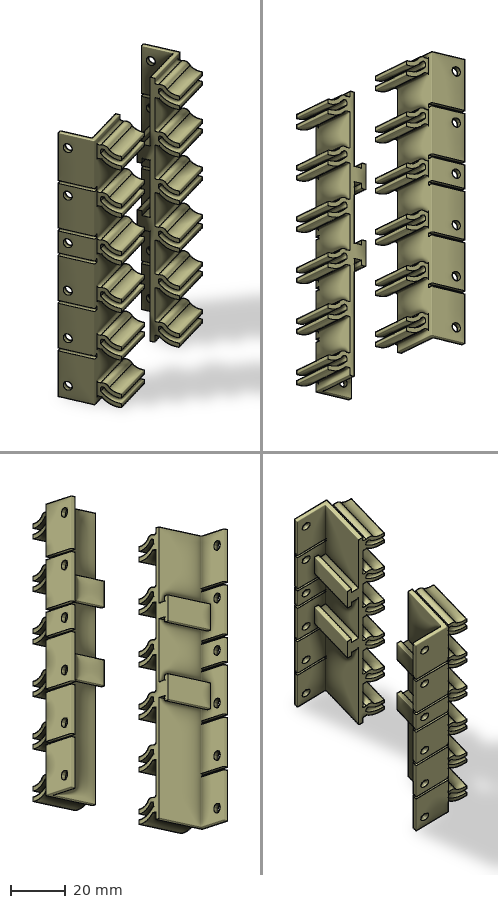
import cadquery as cq
HEIGHT = 111.0
OVERALL_DEPTH = 74.0
OUTER_Y = OVERALL_DEPTH / 2
OVERLAP = 0.5
EDGE_RADIUS = 0.3

SHEET = 2.0
FLANGE_LENGTH = 15.0
WEB_LENGTH = 20.0
FLANGE_Y = OUTER_Y - SHEET
INNER_Y = FLANGE_Y - WEB_LENGTH
WEB_X = FLANGE_LENGTH - SHEET

CLIP_COUNT = 6
CLIP_PITCH = 20.0
CLIP_LEVELS = [(i - (CLIP_COUNT - 1) / 2) * CLIP_PITCH for i in range(CLIP_COUNT)]
HOLE_DIAMETER = 3.5
HOLE_X = 4.0

SLIT_WIDTH = 1.2
SLIT_PITCH = 20.0
UPPER_SLIT_DEPTH = 20.6
LOWER_SLIT_DEPTH = 51.1
UPPER_SLIT_COUNT = 2
LOWER_SLIT_COUNT = 3
SLIT_DEPTHS = [UPPER_SLIT_DEPTH + i * SLIT_PITCH for i in range(UPPER_SLIT_COUNT)]
SLIT_DEPTHS += [LOWER_SLIT_DEPTH + i * SLIT_PITCH for i in range(LOWER_SLIT_COUNT)]

RAIL_HEAD_HEIGHT = 10.0
RAIL_STEM_HEIGHT = 6.0
RAIL_HEAD_X = 7.8
RAIL_HEAD_THICKNESS = 2.0
RAIL_TOP_DEPTHS = (27.0, 56.9)

CLIP_REACH = 9.9
ARM_TIP = 1.8
UPPER_TIP_Z = 0.4
LOWER_TIP_Z = -3.5
ROOT_TOP_Z = 3.2
ROOT_BOTTOM_Z = -2.5
ROOT_FILLET = 0.4
SLOT_X = 1.4
SLOT_TOP_Z = 0.9
SLOT_BOTTOM_Z = -0.2
SHOULDER_CREST = (3.3, 3.3)
SHOULDER_FOOT = (4.9, 2.0)
UPPER_TOP_END = (9.0, UPPER_TIP_Z)
UPPER_BOTTOM_END = (8.1, UPPER_TIP_Z - ARM_TIP)
UPPER_BOTTOM_START = (3.0, 1.4)
LOWER_BOTTOM_END = (8.1, LOWER_TIP_Z - ARM_TIP)
LOWER_BOTTOM_START = (1.8, ROOT_BOTTOM_Z)
SHOULDER_TOP_MID = (2.4, 3.4)
SHOULDER_DROP_MID = (4.3, 2.8)
UPPER_TOP_MID = (6.4, 1.0)
UPPER_BOTTOM_MID = (5.5, -0.5)
SLOT_END_MID = (2.0, 1.7)
LOWER_TOP_MID = (5.1, -2.8)
LOWER_BOTTOM_MID = (4.7, -4.5)


def box(x_range, y_range, z_range):
    """Box between two limits along each axis."""
    (x0, x1), (y0, y1), (z0, z1) = x_range, y_range, z_range
    return cq.Workplane("XY").box(x1 - x0, y1 - y0, z1 - z0, centered=False).translate((x0, y0, z0))


def angle_section():
    """Full-height L: flange and web with rounded corners and end edges."""
    z_range = (-HEIGHT / 2, HEIGHT / 2)
    flange = box((0, FLANGE_LENGTH), (FLANGE_Y, OUTER_Y), z_range)
    web = box((WEB_X, FLANGE_LENGTH), (INNER_Y, OUTER_Y), z_range)
    section = flange.union(web).edges("|Z").edges("not <Y").fillet(EDGE_RADIUS)
    return section.faces("<Z or >Z").edges("not <Y").fillet(EDGE_RADIUS)


def flange_slit(depth):
    """Cutter for one slit across the whole flange."""
    middle = HEIGHT / 2 - depth
    z_range = (middle - SLIT_WIDTH / 2, middle + SLIT_WIDTH / 2)
    return box((-OVERLAP, FLANGE_LENGTH + OVERLAP), (FLANGE_Y, OUTER_Y + OVERLAP), z_range)


def screw_hole(level):
    """Cutter for one screw hole through the flange."""
    return (
        cq.Workplane("XZ", origin=(HOLE_X, OUTER_Y, level))
        .circle(HOLE_DIAMETER / 2)
        .extrude(SHEET)
    )


def rail(top_depth):
    """T-shaped rail: a head plate carried by a narrower stem."""
    middle = HEIGHT / 2 - top_depth - RAIL_HEAD_HEIGHT / 2
    head_back = RAIL_HEAD_X + RAIL_HEAD_THICKNESS
    y_range = (INNER_Y, FLANGE_Y)
    head_z = (middle - RAIL_HEAD_HEIGHT / 2, middle + RAIL_HEAD_HEIGHT / 2)
    stem_z = (middle - RAIL_STEM_HEIGHT / 2, middle + RAIL_STEM_HEIGHT / 2)
    head = box((RAIL_HEAD_X, head_back), y_range, head_z).edges("|Y").fillet(EDGE_RADIUS)
    stem = box((RAIL_HEAD_X, WEB_X + OVERLAP), y_range, stem_z)
    return head.union(stem)


def clip(level):
    """Forked clip with two curved arms, extruded along the length of the web."""
    top_fillet_z = ROOT_TOP_Z + ROOT_FILLET
    bottom_fillet_z = ROOT_BOTTOM_Z - ROOT_FILLET
    profile = (
        cq.Workplane("XZ", origin=(FLANGE_LENGTH, FLANGE_Y, level))
        .moveTo(-OVERLAP, top_fillet_z)
        .lineTo(0, top_fillet_z)
        .radiusArc((ROOT_FILLET, ROOT_TOP_Z), -ROOT_FILLET)
        .lineTo(SLOT_X, ROOT_TOP_Z)
        .threePointArc(SHOULDER_TOP_MID, SHOULDER_CREST)
        .threePointArc(SHOULDER_DROP_MID, SHOULDER_FOOT)
        .threePointArc(UPPER_TOP_MID, UPPER_TOP_END)
        .lineTo(CLIP_REACH, UPPER_TIP_Z)
        .lineTo(CLIP_REACH, UPPER_TIP_Z - ARM_TIP)
        .lineTo(*UPPER_BOTTOM_END)
        .threePointArc(UPPER_BOTTOM_MID, UPPER_BOTTOM_START)
        .threePointArc(SLOT_END_MID, (SLOT_X, SLOT_TOP_Z))
        .lineTo(SLOT_X, SLOT_BOTTOM_Z)
        .threePointArc(LOWER_TOP_MID, (CLIP_REACH, LOWER_TIP_Z))
        .lineTo(CLIP_REACH, LOWER_TIP_Z - ARM_TIP)
        .lineTo(*LOWER_BOTTOM_END)
        .threePointArc(LOWER_BOTTOM_MID, LOWER_BOTTOM_START)
        .lineTo(ROOT_FILLET, ROOT_BOTTOM_Z)
        .radiusArc((0, bottom_fillet_z), -ROOT_FILLET)
        .lineTo(-OVERLAP, bottom_fillet_z)
        .close()
    )
    return profile.extrude(WEB_LENGTH).faces(">X").edges("|Y").fillet(EDGE_RADIUS)


def bracket():
    """Complete bracket on the +Y side."""
    body = angle_section()
    for top_depth in RAIL_TOP_DEPTHS:
        body = body.union(rail(top_depth))
    for level in CLIP_LEVELS:
        body = body.union(clip(level)).cut(screw_hole(level))
    for depth in SLIT_DEPTHS:
        body = body.cut(flange_slit(depth))
    return body


back_bracket = bracket()
front_bracket = back_bracket.mirror("XZ")

result = cq.Compound.makeCompound([back_bracket.val(), front_bracket.val()])